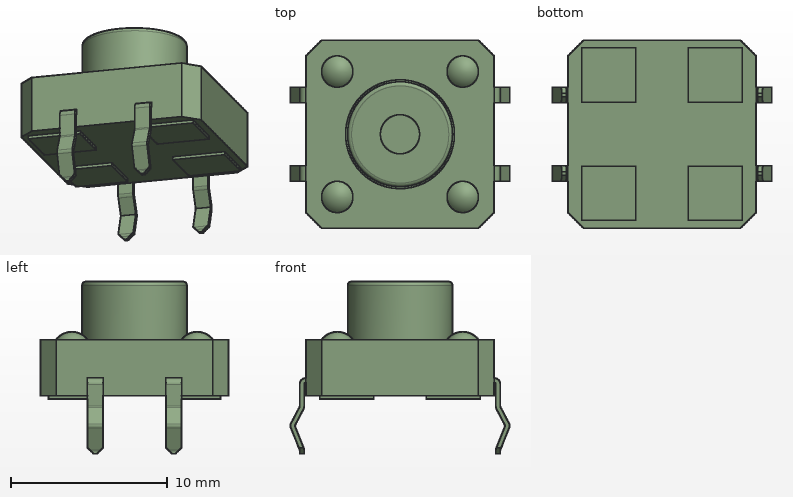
import cadquery as cq
import math


body_width = 12.0
body_corner_chamfer = 1.0
standoff_height = 0.2
body_height = 3.6
body_top = standoff_height + body_height

pad_side = 3.46
pad_centre_x = 3.4
pad_centre_y = 3.77

overall_top = 7.5
button_diameter = 6.7
button_edge_radius = 0.25
clearance_diameter = 6.95
clearance_depth = 0.3
button_hole_diameter = 2.5
button_hole_depth = overall_top - body_top

dome_base_radius = 1.0
dome_height = 0.5
dome_spacing = 8.0

pin_thickness = 0.3
pin_width = 1.0
pin_pitch = 5.0
pin_inner_x = 6.1
pin_top = 1.35
pin_tip = -3.5
pin_embed = 1.0
shoulder_inner_radius = 0.1
shoulder_outer_radius = shoulder_inner_radius + pin_thickness
elbow_inner_x = 6.7
elbow_z = -1.7
upper_bend_z = -0.55
lower_bend_z = -3.2
bend_radius = 0.2
tip_chamfer = 0.4


def make_housing():
    """Square block with chamfered vertical corners."""
    block = cq.Workplane("XY").workplane(offset=standoff_height).rect(body_width, body_width)
    return block.extrude(body_height).edges("|Z").chamfer(body_corner_chamfer)


def make_pads():
    """Four square pads from the seating plane up to the housing."""
    pads = cq.Workplane("XY").rect(2 * pad_centre_x, 2 * pad_centre_y, forConstruction=True)
    return pads.vertices().rect(pad_side, pad_side).extrude(standoff_height)


def make_clearance():
    """Disc removed from the housing top to leave a gap around the button."""
    disc = cq.Workplane("XY").workplane(offset=body_top - clearance_depth)
    return disc.circle(clearance_diameter / 2).extrude(clearance_depth)


def make_button():
    """Round button with a rounded top rim and a blind centre hole."""
    floor_z = body_top - clearance_depth
    button = cq.Workplane("XY").workplane(offset=floor_z).circle(button_diameter / 2)
    button = button.extrude(overall_top - floor_z).faces(">Z").edges().fillet(button_edge_radius)
    return button.faces(">Z").workplane().hole(button_hole_diameter, button_hole_depth)


def make_domes():
    """Four spherical caps standing on the housing top."""
    sphere_radius = (dome_base_radius**2 + dome_height**2) / (2 * dome_height)
    centre_z = body_top + dome_height - sphere_radius
    domes = cq.Workplane("XY").workplane(offset=centre_z)
    domes = domes.rect(dome_spacing, dome_spacing, forConstruction=True).vertices()
    return domes.sphere(sphere_radius)


def outer_corner(inner_corner, tilt_above, tilt_below):
    """Point on the pin's outer face opposite a bend of its inner face.

    Tilts are angles from vertical, positive where the pin runs outward on its way down.
    """
    mean_tilt = (tilt_above + tilt_below) / 2
    reach = pin_thickness / math.cos((tilt_above - tilt_below) / 2)
    x, z = inner_corner
    return (x + reach * math.cos(mean_tilt), z + reach * math.sin(mean_tilt))


def make_pin():
    """One pin on the +X side: shoulder, straight drop, outward elbow and pointed tip."""
    pin_outer_x = pin_inner_x + pin_thickness
    root_x = body_width / 2 - pin_embed
    elbow_reach = elbow_inner_x - pin_inner_x
    tilt_out = math.atan2(elbow_reach, upper_bend_z - elbow_z)
    tilt_in = -math.atan2(elbow_reach, elbow_z - lower_bend_z)

    shoulder_inner = (pin_inner_x, pin_top - pin_thickness)
    shoulder_outer = (pin_outer_x, pin_top)
    upper_inner = (pin_inner_x, upper_bend_z)
    upper_outer = outer_corner(upper_inner, 0, tilt_out)
    elbow_inner = (elbow_inner_x, elbow_z)
    elbow_outer = outer_corner(elbow_inner, tilt_out, tilt_in)
    lower_inner = (pin_inner_x, lower_bend_z)
    lower_outer = outer_corner(lower_inner, tilt_in, 0)

    outline = [
        (root_x, pin_top - pin_thickness),
        shoulder_inner,
        upper_inner,
        elbow_inner,
        lower_inner,
        (pin_inner_x, pin_tip),
        (pin_outer_x, pin_tip),
        lower_outer,
        elbow_outer,
        upper_outer,
        shoulder_outer,
        (root_x, pin_top),
    ]
    pin = cq.Workplane("XZ").polyline(outline).close().extrude(pin_width / 2, both=True)

    bends = [
        (shoulder_inner, shoulder_inner_radius),
        (shoulder_outer, shoulder_outer_radius),
        (upper_outer, bend_radius),
        (upper_inner, bend_radius + pin_thickness),
        (elbow_outer, pin_thickness),
        (lower_outer, bend_radius),
        (lower_inner, bend_radius + pin_thickness),
    ]
    for (x, z), radius in bends:
        pin = pin.edges(cq.NearestToPointSelector((x, 0, z))).fillet(radius)
    return pin.faces("<Z").edges("|X").chamfer(tip_chamfer)


def make_pins():
    """Two pins on each of the two X sides."""
    pin = make_pin()
    side = pin.translate((0, pin_pitch / 2, 0)).union(pin.translate((0, -pin_pitch / 2, 0)))
    return side.union(side.mirror("YZ"))


result = make_housing().union(make_domes()).union(make_pads())
result = result.cut(make_clearance()).union(make_button()).union(make_pins())